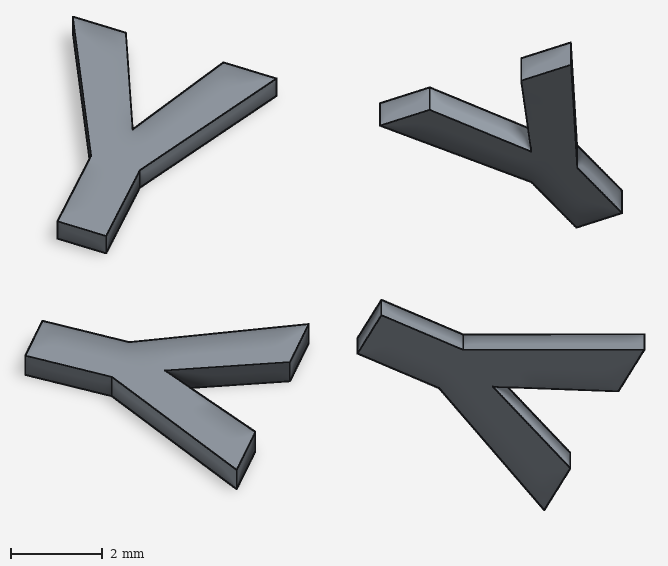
import cadquery as cq

width = 4.79
height = 5.53
thickness = 0.6

stem_width = 1.145
stem_height = 2.01
arm_end_width = 1.25
notch_depth = 2.495

half_width = width / 2
half_stem = stem_width / 2
top = height / 2
bottom = -height / 2
shoulder = bottom + stem_height
notch_bottom = top - notch_depth
arm_inner = half_width - arm_end_width

right_half = [
    (half_stem, bottom),
    (half_stem, shoulder),
    (half_width, top),
    (arm_inner, top),
]
left_half = [(-x, y) for x, y in reversed(right_half)]
outline = right_half + [(0, notch_bottom)] + left_half

result = cq.Workplane("XY").polyline(outline).close().extrude(thickness)